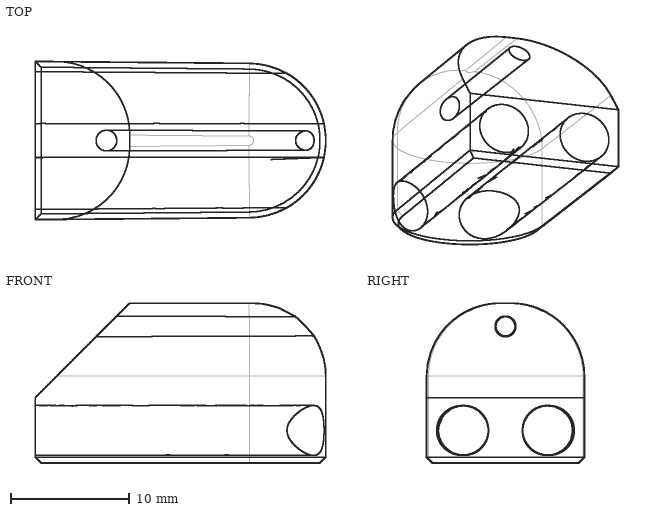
import cadquery as cq
import math

length = 24.53
height = 13.5
back_width = 13.37
nose_radius = 6.52
top_radius = 6.13
bottom_chamfer = 0.5

back_face_height = 5.52

bore_diameter = 4.22
bore_back_width = 4.4
bore_offset = 3.53
bore_height = 2.75

pin_back_diameter = 1.8
pin_nose_diameter = 1.62
pin_height = 11.53


def make_body():
    """Block whose straight sides run tangent into the round nose."""
    half_width = back_width / 2
    nose_center = length - nose_radius
    corner_distance = math.hypot(nose_center, half_width)
    side_angle = math.atan2(half_width, nose_center) - math.asin(nose_radius / corner_distance)
    tangent_x = nose_center + nose_radius * math.sin(side_angle)
    tangent_y = nose_radius * math.cos(side_angle)
    body = (
        cq.Workplane("XY")
        .moveTo(0, -half_width)
        .lineTo(tangent_x, -tangent_y)
        .threePointArc((length, 0), (tangent_x, tangent_y))
        .lineTo(0, half_width)
        .close()
        .extrude(height)
    )
    body = body.faces(">Z").edges("not <X").fillet(top_radius)
    return body.faces("<Z").edges().chamfer(bottom_chamfer)


def make_back_cut():
    """Triangular wedge above the sloping back face."""
    cut_size = height - back_face_height
    return (
        cq.Workplane("XZ")
        .moveTo(0, back_face_height)
        .lineTo(cut_size, height)
        .lineTo(0, height)
        .close()
        .extrude(back_width / 2, both=True)
    )


def make_bore(side):
    """Long bore on one side (+1 or -1), widening outwards towards the back."""
    widening = bore_back_width - bore_diameter
    back_y = side * (bore_offset + widening / 2)
    return (
        cq.Workplane("YZ")
        .center(back_y, bore_height)
        .ellipse(bore_back_width / 2, bore_diameter / 2)
        .workplane(offset=length)
        .center(side * bore_offset - back_y, 0)
        .ellipse(bore_diameter / 2, bore_diameter / 2)
        .loft()
    )


def make_pin_hole():
    """Tapered round hole through the top of the body."""
    return (
        cq.Workplane("YZ")
        .center(0, pin_height)
        .circle(pin_back_diameter / 2)
        .workplane(offset=length)
        .circle(pin_nose_diameter / 2)
        .loft()
    )


result = make_body().cut(make_back_cut())
for side in (-1, 1):
    result = result.cut(make_bore(side))
result = result.cut(make_pin_hole())